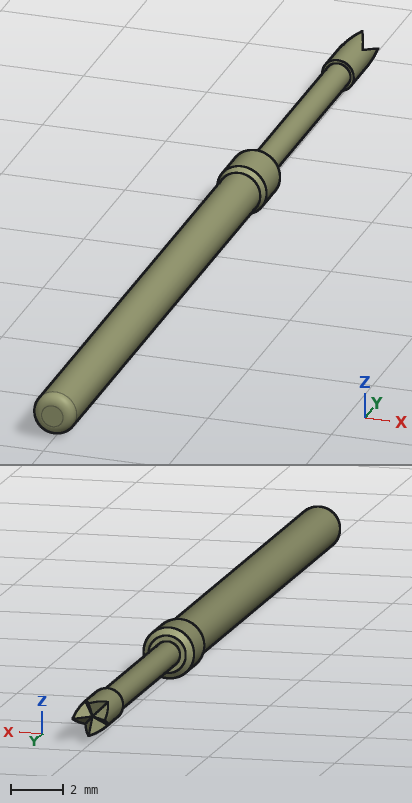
import cadquery as cq
import math

length = 37.8
tip_y = length / 2

barrel_diameter = 1.7
collar_diameter = 2.0
plunger_diameter = 1.02
head_diameter = 1.3

head_length = 3.0
collar_start = 12.78
collar_end = 14.7
taper_end = 15.0

collar_chamfer = 0.25
tail_round = 0.4

tooth_count = 4
centre_depth = 0.65
valley_depth = 1.32


def rod(diameter, start_depth, end_depth):
    """Round bar between two distances behind the crown tips."""
    base = cq.Workplane("XZ", origin=(0, tip_y - start_depth, 0))
    return base.circle(diameter / 2).extrude(end_depth - start_depth)


def make_tooth():
    """Roof-shaped wedge whose ridge rises from the pin axis to the tip on +X."""
    radius = head_diameter / 2
    ridge_slope = centre_depth / radius
    valley_offset = radius * math.sin(math.pi / tooth_count)
    valley_drop = valley_depth - centre_depth + ridge_slope * valley_offset
    flank_drop = valley_drop / math.hypot(1, ridge_slope)
    reach = 2
    section = cq.Plane(
        origin=(0, tip_y - centre_depth, 0), xDir=(0, 0, 1), normal=(1, ridge_slope, 0)
    )
    return (
        cq.Workplane(section)
        .moveTo(0, 0)
        .lineTo(reach * valley_offset, reach * flank_drop)
        .lineTo(-reach * valley_offset, reach * flank_drop)
        .close()
        .extrude(head_diameter, both=True)
    )


def make_crown():
    """Front of the head, trimmed to four pointed teeth."""
    tooth = make_tooth()
    teeth = tooth
    for index in range(1, tooth_count):
        angle = index * 360 / tooth_count
        teeth = teeth.union(tooth.rotate((0, 0, 0), (0, 1, 0), angle))
    return rod(head_diameter, 0, valley_depth).intersect(teeth)


head = rod(head_diameter, valley_depth, head_length)
plunger = rod(plunger_diameter, head_length, collar_start)
collar = rod(collar_diameter, collar_start, collar_end).faces(">Y").chamfer(collar_chamfer)
barrel = rod(barrel_diameter, taper_end, length).faces("<Y").edges().fillet(tail_round)
taper = (
    cq.Workplane("XZ", origin=(0, tip_y - collar_end, 0))
    .circle(collar_diameter / 2)
    .workplane(offset=taper_end - collar_end)
    .circle(barrel_diameter / 2)
    .loft()
)

result = make_crown().union(head).union(plunger).union(collar).union(taper).union(barrel)